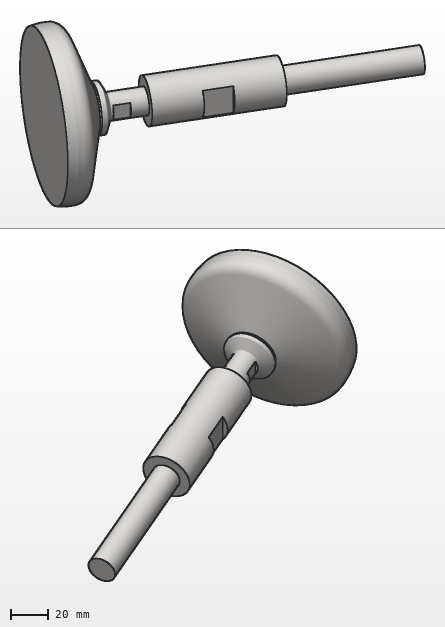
import cadquery as cq


foot_radius = 50.0
underside_radius = 49.1
rim_bottom = 5.9
rim_top = 9.2
shoulder_radius = 45.2
shoulder_height = 16.0
neck_radius = 14.3
neck_bottom = 27.5
neck_top = 28.5

overall_length = 210.0
rod_diameter = 16.0
collar_radius = 15.0
collar_top = 31.7
collar_cone_top = 35.3
collar_fillet = 0.6
sleeve_diameter = 28.0
sleeve_bottom = 56.5
sleeve_length = 75.0
sleeve_top = sleeve_bottom + sleeve_length

rod_flat_bottom = 36.8
rod_flat_length = 9.7
rod_across_flats = 13.0
sleeve_flat_length = 17.0
sleeve_flat_bottom = sleeve_bottom + (sleeve_length - sleeve_flat_length) / 2
sleeve_across_flats = 22.0


def revolve_about_y(profile):
    """Turn a closed (radius, height) profile fully around the Y axis."""
    return profile.revolve(360, (0, 0, 0), (0, 1, 0))


def cut_wrench_flats(body, diameter, across_flats, bottom, length):
    """Cut two opposite flats into a round section of the given diameter."""
    offset = (across_flats + diameter) / 2
    for side in (-1, 1):
        cutter = cq.Workplane("XY").box(diameter, length, diameter)
        cutter = cutter.translate((side * offset, bottom + length / 2, 0))
        body = body.cut(cutter)
    return body


def make_foot():
    """Tapered rim, rounded shoulder, cone and a flat-topped neck."""
    profile = (
        cq.Workplane("XY")
        .lineTo(underside_radius, 0)
        .lineTo(foot_radius, rim_bottom)
        .lineTo(foot_radius, rim_top)
        .tangentArcPoint((shoulder_radius, shoulder_height), relative=False)
        .lineTo(neck_radius, neck_bottom)
        .lineTo(neck_radius, neck_top)
        .lineTo(0, neck_top)
        .close()
    )
    return revolve_about_y(profile)


def round_collar_edges(body):
    """Fillet the collar rims and the inside corner where its cone meets the rod."""
    rounded_heights = cq.selectors.BoxSelector(
        (-collar_radius, neck_top - collar_fillet, -collar_radius),
        (collar_radius, collar_cone_top + collar_fillet, collar_radius),
        boundingbox=False,
    )
    return body.edges("%CIRCLE").edges(rounded_heights).fillet(collar_fillet)


def make_spindle():
    """Conical collar resting on the foot, rod, and sleeve with wrench flats."""
    rod_radius = rod_diameter / 2
    sleeve_radius = sleeve_diameter / 2
    profile = (
        cq.Workplane("XY")
        .moveTo(0, neck_top)
        .lineTo(collar_radius, neck_top)
        .lineTo(collar_radius, collar_top)
        .lineTo(rod_radius, collar_cone_top)
        .lineTo(rod_radius, sleeve_bottom)
        .lineTo(sleeve_radius, sleeve_bottom)
        .lineTo(sleeve_radius, sleeve_top)
        .lineTo(rod_radius, sleeve_top)
        .lineTo(rod_radius, overall_length)
        .lineTo(0, overall_length)
        .close()
    )
    body = round_collar_edges(revolve_about_y(profile))
    body = cut_wrench_flats(body, rod_diameter, rod_across_flats, rod_flat_bottom, rod_flat_length)
    return cut_wrench_flats(
        body, sleeve_diameter, sleeve_across_flats, sleeve_flat_bottom, sleeve_flat_length
    )


foot = make_foot()
spindle = make_spindle()

result = cq.Compound.makeCompound([foot.val(), spindle.val()])